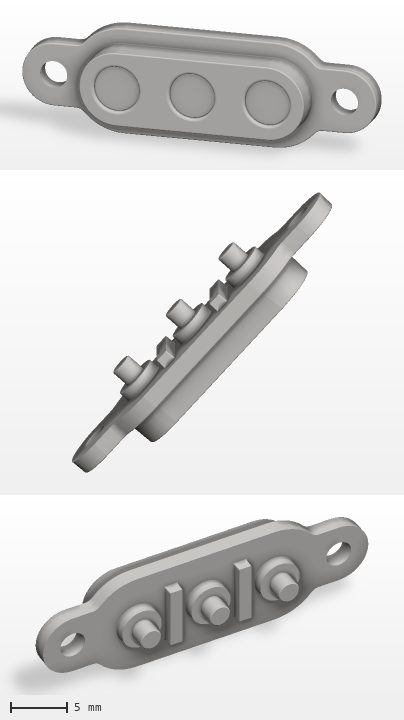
import cadquery as cq
import math

length = 33.0
flange_height = 10.0
flange_thickness = 1.6
flange_draft = 2.0
ear_radius = 3.0
ear_blend_radius = 1.0
ear_hole_diameter = 2.5
flange_edge_fillet = 0.13

pin_count = 3
pin_pitch = 7.0

boss_width = 7.03
boss_height = 2.48
boss_draft = 2.0
boss_edge_fillet = 0.115

pad_diameter = 4.05
pad_height = 1.0
rib_width = 1.32
rib_length = 6.0
rib_corner_fillet = 0.1
pad_draft = 2.0
root_fillet = 0.1

head_diameter = 4.2
head_length = 1.0
head_recess = 0.33
head_fillet = 0.1
tail_diameter = 2.08
tail_length = 1.75
tail_chamfer = 0.1
bore_mouth_fillet = 0.25

ear_x = length / 2 - ear_radius
flange_radius = flange_height / 2
boss_radius = boss_width / 2
head_radius = head_diameter / 2
tail_radius = tail_diameter / 2
end_x = pin_pitch * (pin_count - 1) / 2
pin_places = [i * pin_pitch - end_x for i in range(pin_count)]
rib_places = [x + pin_pitch / 2 for x in pin_places[:-1]]

boss_face_y = -boss_height
head_face_y = boss_face_y + head_recess
head_back_y = head_face_y + head_length
pad_face_y = flange_thickness + pad_height
tail_end_y = pad_face_y + tail_length


def plane_at(y, facing=1):
    """Sketch plane at height y along Y, with its normal along +Y or -Y."""
    return cq.Workplane(cq.Plane((0, y, 0), xDir=(1, 0, 0), normal=(0, facing, 0)))


def cylinder(x, radius, y_start, y_end):
    """Round bar along Y."""
    return plane_at(y_start).center(x, 0).circle(radius).extrude(y_end - y_start)


def flange_plate():
    """Plate with large end arcs that blend into a round ear at each end."""
    blend_z = ear_radius + ear_blend_radius
    centre_distance = flange_radius + ear_blend_radius
    blend_dx = math.sqrt(centre_distance**2 - blend_z**2)
    blend_x = end_x + blend_dx
    touch = flange_radius / centre_distance
    touch_x = end_x + blend_dx * touch
    touch_z = blend_z * touch

    arc_angle = (math.pi / 2 + math.atan2(blend_z, blend_dx)) / 2
    arc_x = end_x + flange_radius * math.cos(arc_angle)
    arc_z = flange_radius * math.sin(arc_angle)
    mid_x = blend_x - ear_blend_radius * math.cos(arc_angle)
    mid_z = blend_z - ear_blend_radius * math.sin(arc_angle)

    plate = (
        plane_at(flange_thickness, facing=-1)
        .moveTo(-end_x, flange_radius)
        .lineTo(end_x, flange_radius)
        .threePointArc((arc_x, arc_z), (touch_x, touch_z))
        .threePointArc((mid_x, mid_z), (blend_x, ear_radius))
        .lineTo(ear_x, ear_radius)
        .threePointArc((length / 2, 0), (ear_x, -ear_radius))
        .lineTo(blend_x, -ear_radius)
        .threePointArc((mid_x, -mid_z), (touch_x, -touch_z))
        .threePointArc((arc_x, -arc_z), (end_x, -flange_radius))
        .lineTo(-end_x, -flange_radius)
        .threePointArc((-arc_x, -arc_z), (-touch_x, -touch_z))
        .threePointArc((-mid_x, -mid_z), (-blend_x, -ear_radius))
        .lineTo(-ear_x, -ear_radius)
        .threePointArc((-length / 2, 0), (-ear_x, ear_radius))
        .lineTo(-blend_x, ear_radius)
        .threePointArc((-mid_x, mid_z), (-touch_x, touch_z))
        .threePointArc((-arc_x, arc_z), (-end_x, flange_radius))
        .close()
        .extrude(flange_thickness, taper=flange_draft)
    )
    return plate.faces("<Y").edges().fillet(flange_edge_fillet)


def front_boss():
    """Drafted stadium boss with a rounded front edge."""
    boss = (
        plane_at(0, facing=-1)
        .slot2D(2 * (end_x + boss_radius), 2 * boss_radius)
        .extrude(boss_height, taper=boss_draft)
    )
    return boss.faces("<Y").edges().fillet(boss_edge_fillet)


def rear_pads():
    """Drafted round pads, one around each pin."""
    points = [(x, 0) for x in pin_places]
    return plane_at(flange_thickness).pushPoints(points).circle(pad_diameter / 2).extrude(pad_height, taper=pad_draft)


def rear_ribs():
    """Drafted upright ribs midway between the pins."""
    points = [(x, 0) for x in rib_places]
    ribs = (
        plane_at(flange_thickness)
        .pushPoints(points)
        .rect(rib_width, rib_length)
        .extrude(pad_height, taper=pad_draft)
    )
    face_edges = cq.selectors.StringSyntaxSelector("|X or |Z")
    return ribs.edges(cq.selectors.InverseSelector(face_edges)).fillet(rib_corner_fillet)


def edges_at(x, y, half_x, half_z):
    """Selector for edges in the plane at height y, inside a rectangle centred on (x, y, 0)."""
    slack = 0.003
    return cq.selectors.BoxSelector(
        (x - half_x, y - slack, -half_z), (x + half_x, y + slack, half_z), boundingbox=True
    )


def blend_roots(body):
    """Round the inner corners where the boss, pads and ribs meet the flange."""
    half_x = end_x + boss_radius + root_fillet
    half_z = boss_radius + root_fillet
    for y in (0, flange_thickness):
        body = body.edges(edges_at(0, y, half_x, half_z)).fillet(root_fillet)
    return body


def cut_pin_bore(body, x):
    """Stepped bore that fits one pin, with a rounded mouth in the boss face."""
    body = body.cut(cylinder(x, head_radius, boss_face_y, head_back_y))
    body = body.cut(cylinder(x, tail_radius, head_back_y, pad_face_y))
    mouth = head_radius + bore_mouth_fillet
    return body.edges(edges_at(x, boss_face_y, mouth, mouth)).fillet(bore_mouth_fillet)


def make_housing():
    body = flange_plate().union(front_boss()).union(rear_pads()).union(rear_ribs())
    body = blend_roots(body)
    for x in (-ear_x, ear_x):
        body = body.cut(cylinder(x, ear_hole_diameter / 2, 0, flange_thickness))
    for x in pin_places:
        body = cut_pin_bore(body, x)
    return body


def make_pin(x):
    """Stepped pin: wide contact head in front, thin tail behind."""
    head = cylinder(x, head_radius, head_face_y, head_back_y).faces("<Y").edges().fillet(head_fillet)
    tail = cylinder(x, tail_radius, head_back_y, tail_end_y).faces(">Y").edges().chamfer(tail_chamfer)
    return head.union(tail)


housing = make_housing()
pins = [make_pin(x) for x in pin_places]

result = cq.Compound.makeCompound([housing.val(), *[pin.val() for pin in pins]])